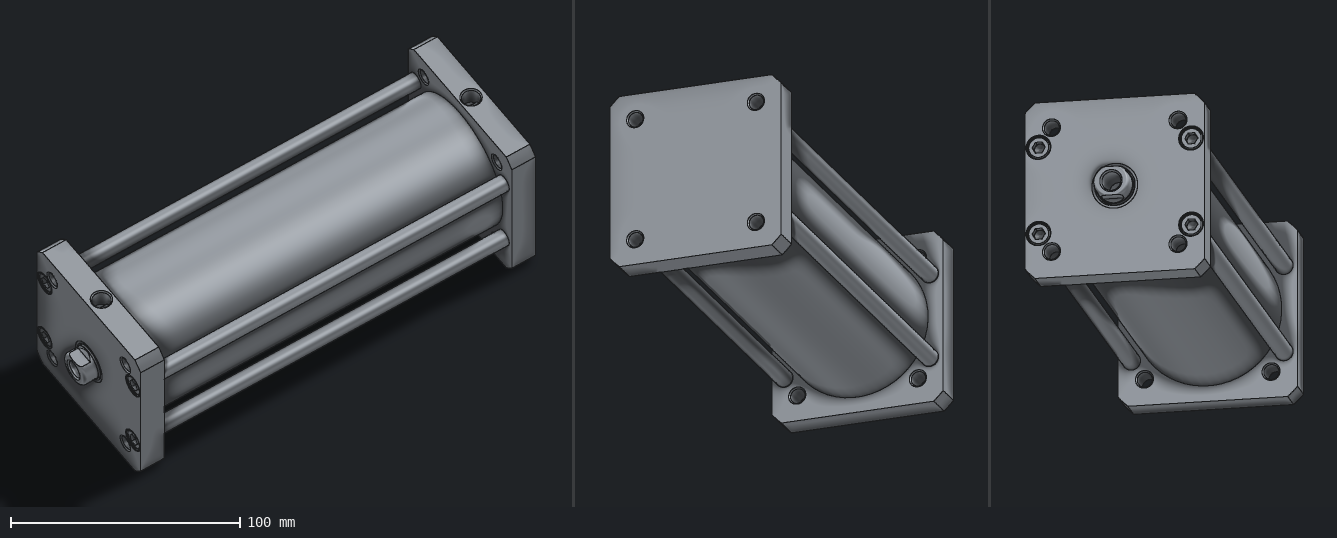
import cadquery as cq
import math


plate_side = 80.0
plate_thickness = 12.5
corner_circle_diameter = 107.2
mount_hole_offset = 28.2
mount_hole_diameter = 6.7
mount_hole_mouth_diameter = 8.0

port_diameter = 8.5
port_mouth_diameter = 9.8
port_chamfer = (port_mouth_diameter - port_diameter) / 2
port_depth = 9.1
port_tip_height = 2.5
port_from_inner_face = 5.9
floor_bar_diameter = 4.5
floor_bar_drop = 0.7

wiper_lip_diameter = 16.5
wiper_lip_height = 0.55
wiper_groove_diameter = 18.0
wiper_groove_depth = 1.7
gland_recess_diameter = 20.5
gland_recess_depth = 0.1

tube_outer_diameter = 66.0
tube_bore_diameter = 63.0

tie_rod_diameter = 8.0
tie_rod_circle_radius = 39.3
tie_rod_angle = 30.0
tie_rod_shoulder_chamfer = 0.5
shank_diameter = 6.7
head_diameter = 10.0
head_height = 6.0
head_chamfer = 0.55
head_setback = 0.5
head_recess_diameter = 10.5
head_recess_mouth_diameter = 11.0
head_recess_chamfer = (head_recess_mouth_diameter - head_recess_diameter) / 2
head_recess_depth = head_height + head_setback
socket_across_flats = 5.0
socket_across_corners = socket_across_flats / math.cos(math.pi / 6)
socket_depth = 3.0
socket_tip_height = 1.3

rod_diameter = 16.0
overall_length = 217.0
rod_overhang = 8.0
rod_tip_fillet = 1.7
flat_distance = 13.0
flat_start = 2.4
tapped_hole_diameter = 8.5
tapped_hole_mouth_diameter = 10.0
tapped_hole_chamfer = (tapped_hole_mouth_diameter - tapped_hole_diameter) / 2
tapped_hole_depth = 17.4
tapped_hole_tip_height = 0.9

rod_tip_y = -rod_overhang
front_inner_y = plate_thickness
rear_outer_y = overall_length - rod_overhang
rear_inner_y = rear_outer_y - plate_thickness
tube_length = rear_inner_y - front_inner_y

quadrants = [(sx, sz) for sx in (-1, 1) for sz in (-1, 1)]
mount_hole_places = [(sx * mount_hole_offset, sz * mount_hole_offset) for sx, sz in quadrants]
tie_rod_x = tie_rod_circle_radius * math.cos(math.radians(tie_rod_angle))
tie_rod_z = tie_rod_circle_radius * math.sin(math.radians(tie_rod_angle))
tie_rod_places = [(sx * tie_rod_x, sz * tie_rod_z) for sx, sz in quadrants]


def cylinder(diameter, start_y, length, x=0.0, z=0.0):
    """Round bar along +Y."""
    bar = cq.Solid.makeCylinder(diameter / 2, length, cq.Vector(x, start_y, z), cq.Vector(0, 1, 0))
    return cq.Workplane(obj=bar)


def cone(start_diameter, end_diameter, start_y, length, x=0.0, z=0.0):
    """Tapered bar along +Y."""
    bar = cq.Solid.makeCone(
        start_diameter / 2, end_diameter / 2, length, cq.Vector(x, start_y, z), cq.Vector(0, 1, 0)
    )
    return cq.Workplane(obj=bar)


def make_plate_blank(outer_y, inner_y):
    """Square plate with turned corners, four mounting holes and an air port."""
    start_y = min(outer_y, inner_y)
    plate = cq.Workplane().box(plate_side, plate_thickness, plate_side).translate(
        (0, start_y + plate_thickness / 2, 0)
    )
    plate = plate.intersect(cylinder(corner_circle_diameter, start_y, plate_thickness))

    chamfer = (mount_hole_mouth_diameter - mount_hole_diameter) / 2
    far_chamfer_y = start_y + plate_thickness - chamfer
    for x, z in mount_hole_places:
        plate = plate.cut(cylinder(mount_hole_diameter, start_y, plate_thickness, x, z))
        plate = plate.cut(cone(mount_hole_mouth_diameter, mount_hole_diameter, start_y, chamfer, x, z))
        plate = plate.cut(cone(mount_hole_diameter, mount_hole_mouth_diameter, far_chamfer_y, chamfer, x, z))

    inward = math.copysign(1, inner_y - outer_y)
    return add_port(plate, inner_y - inward * port_from_inner_face)


def add_port(plate, port_y):
    """Cut the air port down into the plate's top and leave the bar across its floor."""
    top = cq.Vector(0, port_y, plate_side / 2)
    down = cq.Vector(0, 0, -1)
    floor = top + down * port_depth
    port_radius = port_diameter / 2
    bore = cq.Solid.makeCylinder(port_radius, port_depth, top, down)
    tip = cq.Solid.makeCone(port_radius, 0, port_tip_height, floor, down)
    chamfer = cq.Solid.makeCone(port_mouth_diameter / 2, port_radius, port_chamfer, top, down)
    plate = plate.cut(cq.Workplane(obj=bore)).cut(cq.Workplane(obj=tip)).cut(cq.Workplane(obj=chamfer))
    floor_bar_z = floor.z - floor_bar_drop
    return plate.union(cylinder(floor_bar_diameter, port_y - port_radius, port_diameter, z=floor_bar_z))


def make_front_plate():
    """Plate with the wiped rod opening and recessed holes for the tie rod heads."""
    plate = make_plate_blank(0.0, front_inner_y)
    plate = plate.cut(cylinder(gland_recess_diameter, 0, gland_recess_depth))
    plate = plate.cut(cylinder(wiper_groove_diameter, 0, wiper_groove_depth))
    lip_length = wiper_lip_height + wiper_groove_depth
    plate = plate.union(cylinder(wiper_lip_diameter, -wiper_lip_height, lip_length))
    plate = plate.cut(cylinder(rod_diameter, -wiper_lip_height, wiper_lip_height + plate_thickness))
    for x, z in tie_rod_places:
        plate = plate.cut(cylinder(shank_diameter, 0, plate_thickness, x, z))
        plate = plate.cut(cylinder(head_recess_diameter, 0, head_recess_depth, x, z))
        plate = plate.cut(
            cone(head_recess_mouth_diameter, head_recess_diameter, 0, head_recess_chamfer, x, z)
        )
    return plate


def make_rear_plate():
    return make_plate_blank(rear_outer_y, rear_inner_y)


def make_tube():
    tube = cylinder(tube_outer_diameter, front_inner_y, tube_length)
    return tube.cut(cylinder(tube_bore_diameter, front_inner_y, tube_length))


def make_tie_rod(x, z):
    """Bar between the plates, with a shank and a socket head in the front plate."""
    bar = cylinder(tie_rod_diameter, front_inner_y, tube_length).faces("<Y").chamfer(tie_rod_shoulder_chamfer)
    shank = cylinder(shank_diameter, head_recess_depth, front_inner_y - head_recess_depth)
    head = cylinder(head_diameter, head_setback, head_height).faces("<Y").chamfer(head_chamfer)
    socket_floor_y = head_setback + socket_depth
    socket = (
        cq.Workplane("XZ", origin=(0, head_setback, 0))
        .polygon(6, socket_across_corners)
        .extrude(-socket_depth)
    )
    head = head.cut(socket).cut(cone(socket_across_flats, 0, socket_floor_y, socket_tip_height))
    return bar.union(shank).union(head).translate((x, 0, z))


def make_piston_rod():
    """Rod with two wrench flats and a tapped hole in its tip."""
    rod = cylinder(rod_diameter, rod_tip_y, front_inner_y - rod_tip_y).faces("<Y").fillet(rod_tip_fillet)

    flat_z = flat_distance / 2
    flat_cut_height = rod_diameter / 2 - flat_z
    flat_cut = (
        cq.Workplane("YZ")
        .moveTo(rod_tip_y, flat_z)
        .lineTo(-flat_start, flat_z)
        .lineTo(-flat_start + flat_cut_height, flat_z + flat_cut_height)
        .lineTo(rod_tip_y, flat_z + flat_cut_height)
        .close()
        .extrude(rod_diameter / 2, both=True)
    )
    rod = rod.cut(flat_cut).cut(flat_cut.mirror("XY"))

    hole_floor_y = rod_tip_y + tapped_hole_depth
    rod = rod.cut(cylinder(tapped_hole_diameter, rod_tip_y, tapped_hole_depth))
    rod = rod.cut(cone(tapped_hole_diameter, 0, hole_floor_y, tapped_hole_tip_height))
    return rod.cut(cone(tapped_hole_mouth_diameter, tapped_hole_diameter, rod_tip_y, tapped_hole_chamfer))


front_plate = make_front_plate()
rear_plate = make_rear_plate()
tube = make_tube()
piston_rod = make_piston_rod()
tie_rods = [make_tie_rod(x, z) for x, z in tie_rod_places]

result = cq.Compound.makeCompound(
    [
        front_plate.val(),
        rear_plate.val(),
        tube.val(),
        piston_rod.val(),
        *[tie_rod.val() for tie_rod in tie_rods],
    ]
)